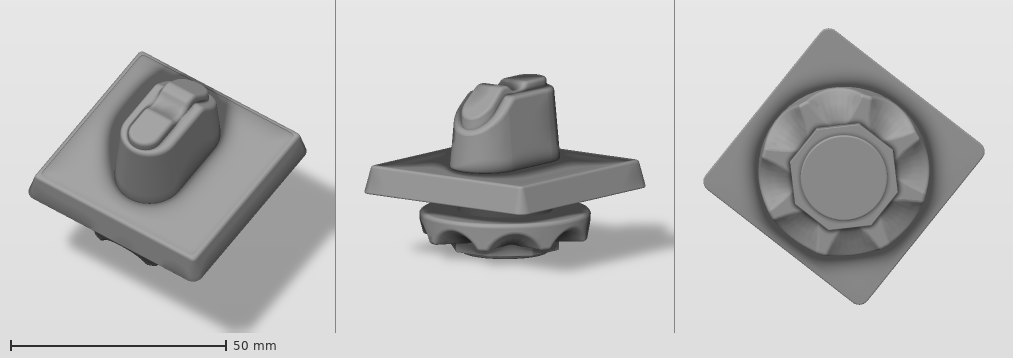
import cadquery as cq
import math

plate_side = 48.0
plate_height = 6.55
plate_draft = 15.0
plate_corner_radius = 2.6
plate_top_round = 0.8
plate_bottom_round = 0.35

recess_side = 42.9
recess_depth = 0.2
recess_corner_radius = 1.2

neck_diameter = 22.2
neck_height = 4.5
nut_top_diameter = 40.05
nut_draft = 3.5
nut_height = 6.6
nut_top_round = 1.0
octagon_sides = 8
octagon_flats = 24.1
octagon_height = 2.4
octagon_round = 0.2
boss_diameter = 20.25
boss_height = 1.0
boss_round = 0.45

scallop_count = 8
scallop_axis_drop = 3.65
scallop_apex_radius = 4.1
scallop_half_angle = 27.0
scallop_edge_round = 0.85

knob_width = 16.5
knob_height = 17.2
knob_arc_spacing = 15.0
knob_draft = 5.0
knob_ridge_y = 5.25
knob_top_round = 1.0
knob_bottom_round = 0.5

rib_rise = 2.0
rib_top_width = 7.75
rib_arc_spacing = 18.55
rib_ridge_y = 5.85
rib_top_round = 0.85
scoop_radius = 4.0
scoop_depth = 1.65

slope_angle = 40.0
ridge_round = 2.0

pick_margin = 0.05

floor_z = plate_height - recess_depth
deck_z = floor_z + knob_height
rib_top_z = deck_z + rib_rise
nut_top_z = -neck_height
nut_bottom_z = nut_top_z - nut_height
octagon_bottom_z = nut_bottom_z - octagon_height


def tan(degrees):
    return math.tan(math.radians(degrees))


def make_plate():
    """Drafted square slab, its widest line just above the rounded bottom edge."""
    draft = math.radians(plate_draft)
    overhang = plate_bottom_round * (math.cos(draft) + (1 + math.sin(draft)) * math.tan(draft) - 1)
    base_side = plate_side + 2 * overhang
    slab = (
        cq.Workplane("XY")
        .sketch()
        .rect(base_side, base_side)
        .vertices()
        .fillet(plate_corner_radius)
        .finalize()
        .extrude(plate_height, taper=plate_draft)
    )
    slab = slab.faces(">Z").edges().fillet(plate_top_round)
    slab = slab.faces("<Z").edges().fillet(plate_bottom_round)
    recess = (
        cq.Workplane("XY", origin=(0, 0, floor_z))
        .rect(recess_side, recess_side)
        .extrude(plate_height)
        .edges("|Z")
        .fillet(recess_corner_radius)
    )
    return slab.cut(recess)


def make_scallop(angle):
    """Cone with its axis along the radius at the given angle, opening outwards."""
    length = nut_top_diameter
    cone = cq.Solid.makeCone(
        0,
        length * tan(scallop_half_angle),
        length,
        cq.Vector(scallop_apex_radius, 0, nut_bottom_z - scallop_axis_drop),
        cq.Vector(1, 0, 0),
    )
    return cone.rotate(cq.Vector(0, 0, 0), cq.Vector(0, 0, 1), angle)


def make_nut():
    """Slightly conical hand nut with rounded scallops in its lower edge."""
    nut = (
        cq.Workplane("XY", origin=(0, 0, nut_top_z))
        .circle(nut_top_diameter / 2)
        .extrude(-nut_height, taper=nut_draft)
    )
    for index in range(scallop_count):
        nut = nut.cut(cq.Workplane(make_scallop(index * 360 / scallop_count)))
    nut = nut.faces(">Z").edges().fillet(nut_top_round)
    below_top = cq.selectors.BoxSelector(
        (-plate_side, -plate_side, nut_bottom_z - pick_margin),
        (plate_side, plate_side, nut_top_z - nut_top_round - pick_margin),
    )
    return nut.edges(below_top).fillet(scallop_edge_round)


def make_base():
    """Plate, neck, nut, octagon and end boss as one body."""
    neck = cq.Workplane("XY").circle(neck_diameter / 2).extrude(-neck_height)
    octagon = (
        cq.Workplane("XY", origin=(0, 0, octagon_bottom_z))
        .polygon(octagon_sides, octagon_flats, circumscribed=True)
        .extrude(octagon_height + nut_height / 2)
    )
    octagon = octagon.edges("|Z or <Z").fillet(octagon_round)
    boss = (
        cq.Workplane("XY", origin=(0, 0, octagon_bottom_z))
        .circle(boss_diameter / 2)
        .extrude(-boss_height)
        .faces("<Z")
        .edges()
        .fillet(boss_round)
    )
    return make_plate().union(neck).union(make_nut()).union(octagon).union(boss)


def drafted_stadium(top_width, arc_spacing, top_z):
    """Stadium along Y from the recess floor up, its arc centres at the same Y all the way."""
    height = top_z - floor_z
    base_width = top_width + 2 * height * tan(knob_draft)
    return (
        cq.Workplane("XY", origin=(0, 0, floor_z))
        .slot2D(arc_spacing + base_width, base_width, 90)
        .extrude(height, taper=knob_draft)
    )


def side_profile(ridge_y, top_z):
    """Block across the knob, flat on top up to the ridge and sloping down beyond it."""
    reach = plate_side / 2
    drop = (reach - ridge_y) * tan(slope_angle)
    return (
        cq.Workplane("YZ")
        .polyline([(-reach, 0), (-reach, top_z), (ridge_y, top_z), (reach, top_z - drop), (reach, 0)])
        .close()
        .extrude(plate_side / 2, both=True)
    )


def edges_across(y, z):
    """Selects edges running along X through the given Y and Z."""
    return cq.selectors.BoxSelector(
        (-plate_side, y - pick_margin, z - pick_margin),
        (plate_side, y + pick_margin, z + pick_margin),
    )


def make_rib():
    """Rib reaching down through the knob, so that it joins it all round."""
    scoop_z = rib_top_z - scoop_depth + scoop_radius
    scoop_half_width = math.sqrt(scoop_radius**2 - (scoop_radius - scoop_depth) ** 2)
    scoop = (
        cq.Workplane("YZ").center(0, scoop_z).circle(scoop_radius).extrude(plate_side / 2, both=True)
    )
    profile = side_profile(rib_ridge_y, rib_top_z).cut(scoop)
    for y in (rib_ridge_y, scoop_half_width, -scoop_half_width):
        profile = profile.edges(edges_across(y, rib_top_z)).fillet(ridge_round)
    rib = drafted_stadium(rib_top_width, rib_arc_spacing, rib_top_z).intersect(profile)
    return rib.faces(">Z").edges().fillet(rib_top_round)


def make_knob():
    """Sloped, rounded handle with its rib, standing on the recess floor."""
    top_width = knob_width - 2 * knob_height * tan(knob_draft)
    profile = side_profile(knob_ridge_y, deck_z)
    profile = profile.edges(edges_across(knob_ridge_y, deck_z)).fillet(ridge_round)
    body = drafted_stadium(top_width, knob_arc_spacing, deck_z).intersect(profile)
    body = body.faces(">Z").edges("not |X").fillet(knob_top_round)
    body = body.faces("<Z").edges().fillet(knob_bottom_round)
    return body.union(make_rib())


base = make_base()
knob = make_knob()

result = cq.Compound.makeCompound([base.val(), knob.val()])